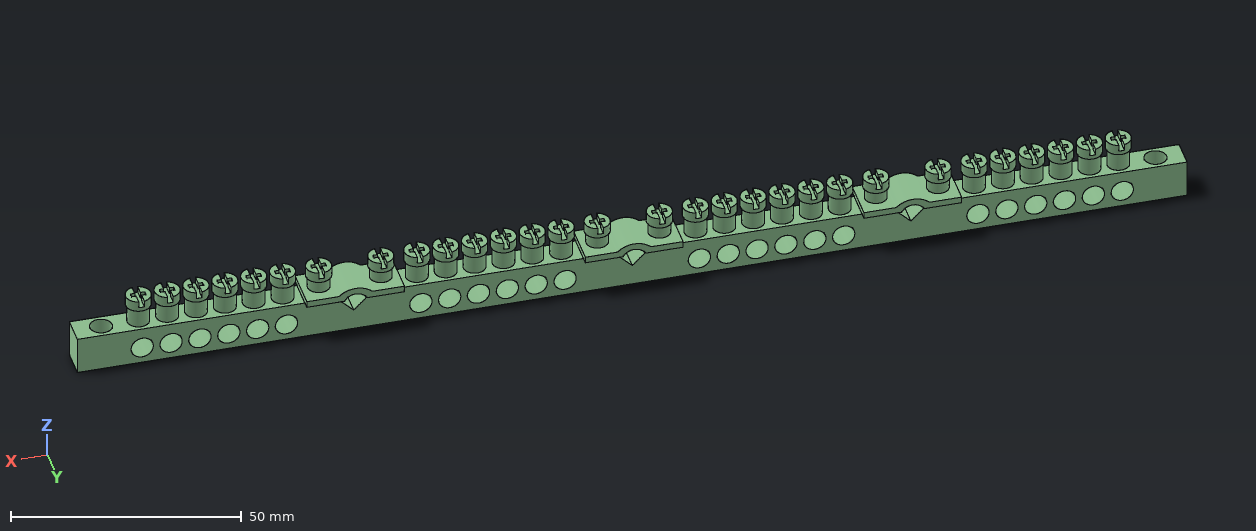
import cadquery as cq

bar_length = 249.0
bar_width = 6.7
bar_height = 9.0
section_count = 4
section_pitch = 62.5

wire_hole_diameter = 5.0
wire_hole_height = 4.0
terminals_per_section = 6
terminal_pitch = 6.5

mounting_hole_diameter = 5.0
mounting_hole_inset = 6.2

screw_top = 16.0
head_diameter = 5.7
head_height = 2.5
shank_diameter = 5.0
slot_width = 1.2
cross_width = 1.0
slot_depth = 1.5
cross_length = 3.2

clamp_length = 22.0
clamp_width = 10.0
clamp_thickness = 1.5
arch_rise = 1.5
arch_inner_half_width = 2.5
arch_outer_half_width = 3.7
arch_blend_radius = 0.7
clamp_screw_offset = 7.0
notch_half_width = 4.0
notch_depth = notch_half_width

section_centers = [(i - (section_count - 1) / 2) * section_pitch for i in range(section_count)]
terminal_offsets = [
    (i - (terminals_per_section - 1) / 2) * terminal_pitch for i in range(terminals_per_section)
]
terminal_positions = [center + offset for center in section_centers for offset in terminal_offsets]
clamp_positions = [center + section_pitch / 2 for center in section_centers[:-1]]
clamp_screw_positions = [
    center + side * clamp_screw_offset for center in clamp_positions for side in (-1, 1)
]


def make_bar():
    """Bar with mounting holes, wire holes and V notches under the clamps."""
    bar = cq.Workplane("XY").box(bar_length, bar_width, bar_height, centered=(True, True, False))
    mounting_x = bar_length / 2 - mounting_hole_inset
    bar = (
        bar.faces(">Z").workplane()
        .pushPoints([(-mounting_x, 0), (mounting_x, 0)])
        .hole(mounting_hole_diameter)
    )
    wire_holes = (
        cq.Workplane("XZ")
        .pushPoints([(x, wire_hole_height) for x in terminal_positions])
        .circle(wire_hole_diameter / 2)
        .extrude(bar_width, both=True)
    )
    bar = bar.cut(wire_holes)
    for x in clamp_positions:
        notch = (
            cq.Workplane("XZ")
            .moveTo(x - notch_half_width, bar_height)
            .lineTo(x, bar_height - notch_depth)
            .lineTo(x + notch_half_width, bar_height)
            .close()
            .extrude(bar_width, both=True)
        )
        bar = bar.cut(notch)
    return bar


def make_clamp():
    """Flat strap with an arched middle, centred on X = 0 and lying on the bar."""
    clamp_top = bar_height + clamp_thickness
    selection_margin = 0.2
    clamp = (
        cq.Workplane("XZ")
        .moveTo(-clamp_length / 2, bar_height)
        .lineTo(-arch_inner_half_width, bar_height)
        .threePointArc((0, bar_height + arch_rise), (arch_inner_half_width, bar_height))
        .lineTo(clamp_length / 2, bar_height)
        .lineTo(clamp_length / 2, clamp_top)
        .lineTo(arch_outer_half_width, clamp_top)
        .threePointArc((0, clamp_top + arch_rise), (-arch_outer_half_width, clamp_top))
        .lineTo(-clamp_length / 2, clamp_top)
        .close()
        .extrude(clamp_width / 2, both=True)
    )
    arch_roots = cq.selectors.BoxSelector(
        (-arch_outer_half_width - selection_margin, -clamp_width, clamp_top - selection_margin),
        (arch_outer_half_width + selection_margin, clamp_width, clamp_top + selection_margin),
    )
    return clamp.edges("|Y").edges(arch_roots).fillet(arch_blend_radius)


def make_screw():
    """Cheese-head screw on X = 0 with a slot along Y and a short cross recess."""
    shank = cq.Workplane("XY").workplane(offset=bar_height).circle(shank_diameter / 2)
    shank = shank.extrude(screw_top - head_height - bar_height)
    head = cq.Workplane("XY").workplane(offset=screw_top - head_height)
    head = head.circle(head_diameter / 2).extrude(head_height)
    recess_plane = cq.Workplane("XY").workplane(offset=screw_top)
    slot = recess_plane.rect(slot_width, head_diameter).extrude(-slot_depth)
    cross = recess_plane.rect(cross_length, cross_width).extrude(-slot_depth)
    return shank.union(head).cut(slot).cut(cross)


result = make_bar()

clamp = make_clamp()
for x in clamp_positions:
    result = result.union(clamp.translate((x, 0, 0)))

screw = make_screw()
for x in terminal_positions + clamp_screw_positions:
    result = result.union(screw.translate((x, 0, 0)))